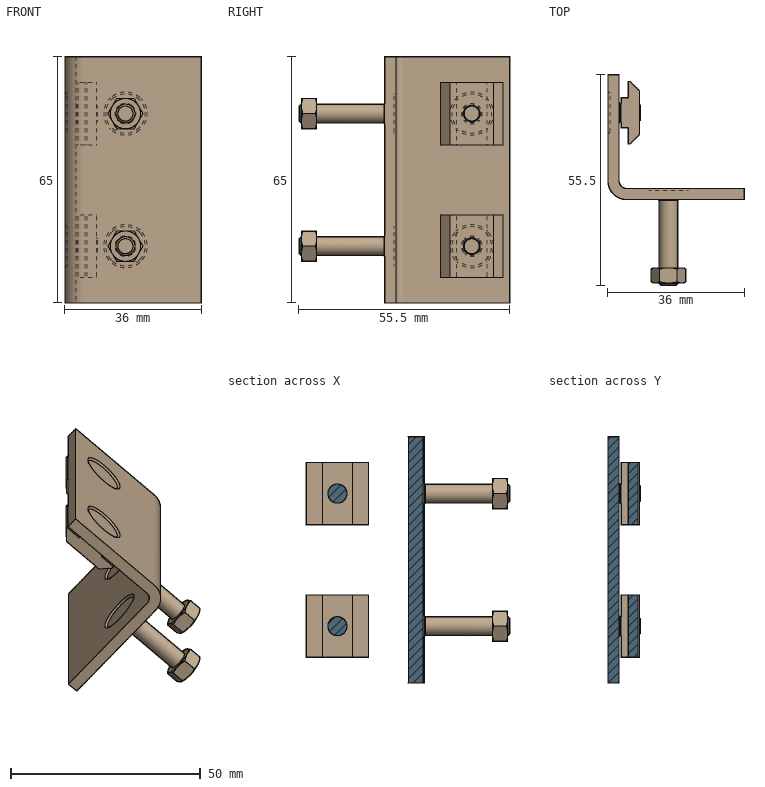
import cadquery as cq
import math

plate_height = 65.0
leg_x = 36.0
leg_y = 33.0
plate_thickness = 3.0
inner_bend_radius = 2.0
outer_bend_radius = inner_bend_radius + plate_thickness

screw_inset_z = 15.0
screw_levels = (screw_inset_z, plate_height - screw_inset_z)
bolt_x = 16.0
slot_screw_inset_y = 10.1
slot_screw_y = leg_y - slot_screw_inset_y

screw_diameter = 5.0
screw_tip_chamfer = 0.5
countersink_diameter = 11.45
head_diameter = 10.4
head_recess = (countersink_diameter - head_diameter) / 2
slot_screw_end = 8.6
bolt_reach = 22.55

nut_flats = 8.0
nut_thickness = 4.0
nut_offset = 17.95
hexagon_half_angle = 30.0
nut_corner_diameter = nut_flats / math.cos(math.radians(hexagon_half_angle))
nut_chamfer_angle = 30.0

neck_start = 3.5
shoulder = 5.3
flange_end = 8.4
neck_width = 8.0
flange_width = 16.5
flange_end_width = 11.6
flange_edge = 0.5
slot_nut_length = flange_width


def angle_plate():
    outline = (
        cq.Workplane("XY")
        .moveTo(0, 0)
        .lineTo(leg_x, 0)
        .lineTo(leg_x, plate_thickness)
        .lineTo(plate_thickness, plate_thickness)
        .lineTo(plate_thickness, leg_y)
        .lineTo(0, leg_y)
        .close()
        .extrude(plate_height)
    )
    inner_corner = cq.selectors.NearestToPointSelector(
        (plate_thickness, plate_thickness, plate_height / 2)
    )
    outer_corner = cq.selectors.NearestToPointSelector((0, 0, plate_height / 2))
    bent = outline.edges(inner_corner).fillet(inner_bend_radius)
    return bent.edges(outer_corner).fillet(outer_bend_radius)


def countersink():
    """Cone at the origin opening toward -Z, as deep as the plate."""
    mouth_radius = countersink_diameter / 2
    far_radius = mouth_radius - plate_thickness
    return (
        cq.Workplane("XY")
        .circle(mouth_radius)
        .workplane(offset=plate_thickness)
        .circle(far_radius)
        .loft(ruled=True)
    )


def countersunk_screw(end):
    """Screw along +Z, countersunk from z = 0 and ending at z = end."""
    head_radius = head_diameter / 2
    shank_radius = screw_diameter / 2
    head_end = head_recess + head_radius - shank_radius
    return (
        cq.Workplane("XZ")
        .moveTo(0, head_recess)
        .lineTo(head_radius, head_recess)
        .lineTo(shank_radius, head_end)
        .lineTo(shank_radius, end - screw_tip_chamfer)
        .lineTo(shank_radius - screw_tip_chamfer, end)
        .lineTo(0, end)
        .close()
        .revolve(360, (0, 0, 0), (0, 1, 0))
    )


def hexagon_nut():
    """Nut along +Z from z = 0, corners trimmed at both ends by cones."""
    corner_radius = nut_corner_diameter / 2
    end_radius = nut_flats / 2
    trim = (corner_radius - end_radius) * math.tan(math.radians(nut_chamfer_angle))
    envelope = (
        cq.Workplane("XZ")
        .moveTo(0, 0)
        .lineTo(end_radius, 0)
        .lineTo(corner_radius, trim)
        .lineTo(corner_radius, nut_thickness - trim)
        .lineTo(end_radius, nut_thickness)
        .lineTo(0, nut_thickness)
        .close()
        .revolve(360, (0, 0, 0), (0, 1, 0))
    )
    prism = cq.Workplane("XY").polygon(6, nut_corner_diameter).extrude(nut_thickness)
    return prism.intersect(envelope)


def slot_nut():
    """T-shaped nut pointing along +X, centred about y = 0 and z = 0."""
    half_profile = [
        (neck_start, neck_width / 2),
        (shoulder, neck_width / 2),
        (shoulder, flange_width / 2),
        (shoulder + flange_edge, flange_width / 2),
        (flange_end, flange_end_width / 2),
    ]
    mirrored_profile = [(x, -y) for x, y in reversed(half_profile)]
    return (
        cq.Workplane("XY")
        .polyline(half_profile + mirrored_profile)
        .close()
        .extrude(slot_nut_length / 2, both=True)
    )


def along_x(body, z):
    """Turn a +Z body toward +X and place it on the +Y leg."""
    turned = body.rotate((0, 0, 0), (0, 1, 0), 90)
    return turned.translate((0, slot_screw_y, z))


def along_minus_y(body, z):
    """Turn a +Z body toward -Y and place it on the inner face of the +X leg."""
    turned = body.rotate((0, 0, 0), (1, 0, 0), 90)
    return turned.translate((bolt_x, plate_thickness, z))


result = angle_plate()
for level in screw_levels:
    result = result.cut(along_x(countersink(), level))
    result = result.cut(along_minus_y(countersink(), level))

for level in screw_levels:
    result = result.union(along_x(countersunk_screw(slot_screw_end), level))
    result = result.union(slot_nut().translate((0, slot_screw_y, level)))
    bolt = countersunk_screw(plate_thickness + bolt_reach)
    bolt_nut = hexagon_nut().translate((0, 0, plate_thickness + nut_offset))
    result = result.union(along_minus_y(bolt.union(bolt_nut), level))